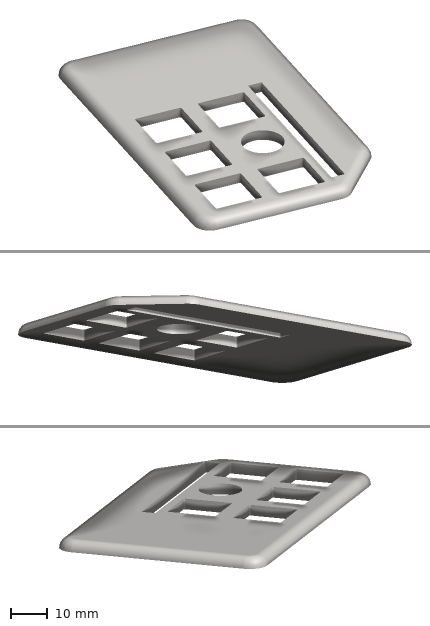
import cadquery as cq

case_length = 95.0
case_width = 60.0
thickness = 3.0
corner_radius = 5.0
edge_round = 2.9
cut_length = 16.9
cut_width = 15.1

columns = 3
rows = 2
plate_length = 57.2
plate_width = 38.1
plate_left = 34.7
plate_bottom = 4.75
column_pitch = plate_length / columns
row_pitch = plate_width / rows
key_opening = 14.1
key_corner_radius = 0.5
knob_diameter = 12.0
knob_cell = (1, 1)
knob_shift_x = -0.3
knob_shift_y = 0.6

slot_length = 53.3
slot_width = 4.1


def block(left, bottom, length, width):
    """Full-thickness rectangular block placed by its lower left corner."""
    return cq.Workplane("XY").box(length, width, thickness, centered=False).translate((left, bottom, 0))


def plate_blank():
    return block(plate_left, plate_bottom, plate_length, plate_width)


def make_case():
    outline = [
        (0, 0),
        (case_length, 0),
        (case_length, case_width - cut_width),
        (case_length - cut_length, case_width),
        (0, case_width),
    ]
    case = cq.Workplane("XY").polyline(outline).close().extrude(thickness)
    case = case.edges("|Z").fillet(corner_radius)
    case = case.faces(">Z").edges().fillet(edge_round)
    slot = block(plate_left, plate_bottom + plate_width, slot_length, slot_width)
    return case.cut(plate_blank()).cut(slot)


def cell_center(column, row):
    return (
        plate_left + (column + 0.5) * column_pitch,
        plate_bottom + (row + 0.5) * row_pitch,
    )


def key_cutter(center):
    cutter = cq.Workplane("XY").center(*center).rect(key_opening, key_opening).extrude(thickness)
    return cutter.edges("|Z").fillet(key_corner_radius)


def knob_cutter(center):
    x, y = center
    return cq.Workplane("XY").center(x + knob_shift_x, y + knob_shift_y).circle(knob_diameter / 2).extrude(thickness)


def make_key_plate():
    plate = plate_blank()
    for column in range(columns):
        for row in range(rows):
            center = cell_center(column, row)
            if (column, row) == knob_cell:
                plate = plate.cut(knob_cutter(center))
            else:
                plate = plate.cut(key_cutter(center))
    return plate


case = make_case()
key_plate = make_key_plate()

result = cq.Compound.makeCompound([case.val(), key_plate.val()])